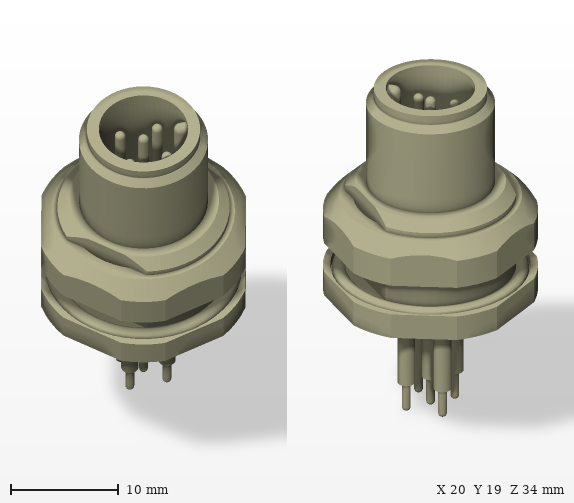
import cadquery as cq
import math


overall_height = 34.0

hex_across_flats = 19.0
hex_corner_dia = 20.0

flange_height = 2.5
ring_tube_radius = 0.68
ring_exposed_height = 0.3
ring_squeeze = 0.2
ring_groove_dia = 18.63

neck_dia = 16.0
neck_across_flats = 13.5
neck_top = 11.5
neck_chamfer = 1.0

nut_bottom = 5.5
nut_top = 10.0
nut_bore_dia = 14.4
nut_crown_dia = 17.0
washer_face_dia = 18.7
washer_face_height = 0.1

barrel_dia = 12.0
barrel_top = 21.5
lip_dia = 10.55
lip_height = 0.92
barrel_chamfer = 0.6
socket_dia = 8.3
socket_floor_fillet = 0.25
socket_floor = neck_top

pin_pitch = 2.5
contact_dia = 1.0
outer_contact_top = 19.5
center_contact_top = 20.5
tail_dia = 1.63
tail_length = 9.5
solder_pin_dia = 0.8
pins_bottom = barrel_top - overall_height

post_dia = 1.22
post_top = 21.0


def disc(diameter, bottom, top):
    return cq.Workplane("XY").workplane(offset=bottom).circle(diameter / 2).extrude(top - bottom)


def cone(bottom_dia, top_dia, bottom, top):
    profile = [(0, bottom), (bottom_dia / 2, bottom), (top_dia / 2, top), (0, top)]
    return cq.Workplane("XZ").polyline(profile).close().revolve(360, (0, 0), (0, 1))


def rounded_hexagon(bottom, top):
    """Hexagon with flats facing +Y and -Y, its corners turned down to a circle."""
    sharp_corner_dia = hex_across_flats / math.cos(math.pi / 6)
    hexagon = cq.Workplane("XY").workplane(offset=bottom).polygon(6, sharp_corner_dia).extrude(top - bottom)
    return hexagon.intersect(disc(hex_corner_dia, bottom, top))


def domed_pin(x, y, diameter, bottom, top):
    """Upright pin with a hemispherical upper end."""
    radius = diameter / 2
    shaft = disc(diameter, bottom, top - radius)
    dome = cq.Workplane("XY").sphere(radius).translate((0, 0, top - radius))
    return shaft.union(dome).translate((x, y, 0))


def make_flange():
    """Hexagonal flange with a sealing ring pressed into a groove around the neck."""
    tube_center_radius = neck_dia / 2 + ring_tube_radius - ring_squeeze
    tube_center_height = flange_height + ring_exposed_height - ring_tube_radius
    groove_floor = tube_center_height - ring_tube_radius + ring_squeeze
    groove = disc(ring_groove_dia, groove_floor, flange_height).cut(disc(neck_dia, groove_floor, flange_height))
    ring = cq.Workplane("XY").add(cq.Solid.makeTorus(tube_center_radius, ring_tube_radius))
    flange = rounded_hexagon(0, flange_height).cut(groove)
    return flange.union(ring.translate((0, 0, tube_center_height)))


def make_neck():
    """Neck chamfered at its top, with flats facing +Y and -Y."""
    chamfer_start = neck_top - neck_chamfer
    neck = disc(neck_dia, 0, chamfer_start)
    neck = neck.union(cone(neck_dia, neck_dia - 2 * neck_chamfer, chamfer_start, neck_top))
    flats = cq.Workplane("XY").box(neck_dia, neck_across_flats, neck_top, centered=(True, True, False))
    return neck.intersect(flats)


def make_nut():
    """Hexagonal nut with a conical crown and a thin washer face underneath."""
    hex_bottom = nut_bottom + washer_face_height
    crown_height = (hex_corner_dia - nut_crown_dia) / 2
    crown_start = nut_top - crown_height
    turned_blank = disc(hex_corner_dia, hex_bottom, crown_start)
    turned_blank = turned_blank.union(cone(hex_corner_dia, nut_crown_dia, crown_start, nut_top))
    nut = rounded_hexagon(hex_bottom, nut_top).intersect(turned_blank)
    nut = nut.union(disc(washer_face_dia, nut_bottom, hex_bottom))
    return nut.cut(disc(nut_bore_dia, nut_bottom, nut_top))


def make_barrel():
    """Round barrel, chamfered below a narrower lip."""
    shoulder = barrel_top - lip_height
    chamfer_start = shoulder - barrel_chamfer
    barrel = disc(barrel_dia, 0, chamfer_start)
    barrel = barrel.union(cone(barrel_dia, barrel_dia - 2 * barrel_chamfer, chamfer_start, shoulder))
    return barrel.union(disc(lip_dia, shoulder, barrel_top))


def make_lower_pin(x, y):
    """Thick tail below the flange, stepping down to a solder pin with a round tip."""
    tail = disc(tail_dia, -tail_length, flange_height).translate((x, y, 0))
    solder_pin = domed_pin(x, -y, solder_pin_dia, 0, -pins_bottom)
    return tail.union(solder_pin.rotate((0, 0, 0), (1, 0, 0), 180))


def make_coding_key():
    """Domed post continued by a round-topped rib that runs out to the socket wall."""
    radius = post_dia / 2
    post_distance = pin_pitch * math.sqrt(2)
    rib_end = (socket_dia + lip_dia) / 4
    rib_length = rib_end - post_distance
    arch_height = post_top - radius
    rib = (
        cq.Workplane("YZ")
        .workplane(offset=post_distance)
        .moveTo(-radius, flange_height)
        .lineTo(-radius, arch_height)
        .threePointArc((0, post_top), (radius, arch_height))
        .lineTo(radius, flange_height)
        .close()
        .extrude(rib_length)
    )
    post = domed_pin(post_distance, 0, post_dia, flange_height, post_top)
    return post.union(rib).rotate((0, 0, 0), (0, 0, 1), 45)


result = make_flange().union(make_neck()).union(make_nut()).union(make_barrel())
socket = disc(socket_dia, socket_floor, barrel_top).faces("<Z").edges().fillet(socket_floor_fillet)
result = result.cut(socket)

pin_positions = [(0, 0), (pin_pitch, 0), (0, pin_pitch), (-pin_pitch, 0), (0, -pin_pitch)]
for x, y in pin_positions:
    contact_top = center_contact_top if (x, y) == (0, 0) else outer_contact_top
    result = result.union(domed_pin(x, y, contact_dia, flange_height, contact_top))
    result = result.union(make_lower_pin(x, y))

result = result.union(make_coding_key())